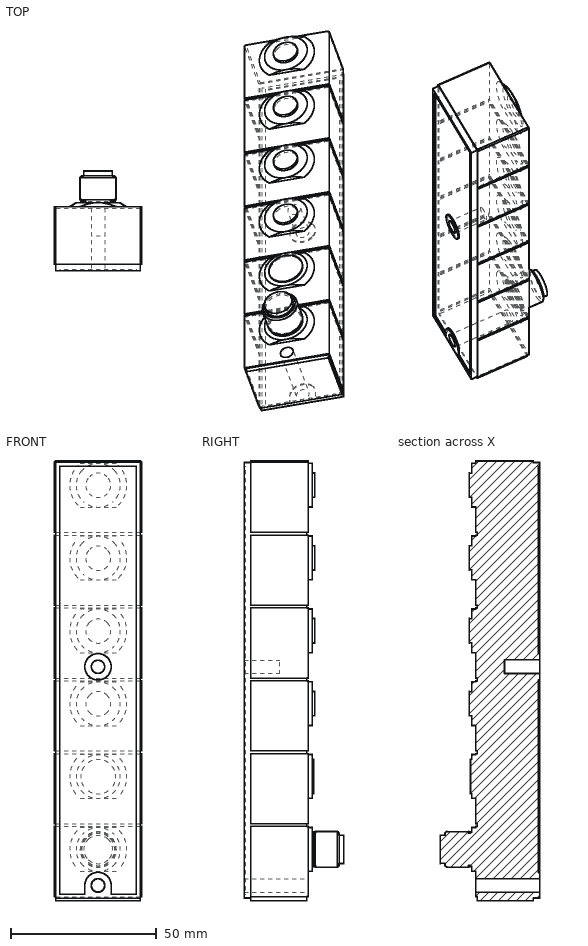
import cadquery as cq


width = 30.0
length = 151.0
module_count = 6
foot_height = 1.0
seam_width = 0.9
step = 0.5
housing_back = 22.0

plate_thickness = 2.3
plate_bottom = 0.9
rim_width = 1.4
pocket_depth = 0.5

hole_diameter = 4.5
boss_diameter = 9.0
hole_spacing = 75.0
end_hole_z = 5.3
blind_hole_depth = 12.1

port_drop = 8.3
flange_base_diameter = 19.5
flange_height = 15.1
flange_thickness = 1.4
cap_diameter = 8.5
cap_thickness = 0.9
collar_diameter = 12.0
collar_thickness = 0.5
neck_diameter = 11.2
neck_length = 0.6
barrel_diameter = 12.4
barrel_chamfer = 0.6
barrel_end = 32.6
tip_diameter = 9.8
plug_end = 34.3

module_pitch = (length - foot_height) / module_count
core_width = width - 2 * step
plate_top = length - step
flange_face = housing_back + flange_thickness
collar_face = flange_face + collar_thickness
port_heights = [length - port_drop - i * module_pitch for i in range(module_count)]


def slab(slab_width, y_front, y_back, z_bottom, z_top):
    """Box centred on X between the given Y and Z limits."""
    size = (slab_width, y_back - y_front, z_top - z_bottom)
    return cq.Workplane("XY").box(*size, centered=(True, False, False)).translate((0, y_front, z_bottom))


def rod(diameter, y_front, y_back, z):
    """Cylinder along +Y on the middle plane of the block."""
    axis = cq.Solid.makeCylinder(diameter / 2, y_back - y_front, cq.Vector(0, y_front, z), cq.Vector(0, 1, 0))
    return cq.Workplane(axis)


def housing():
    body = slab(core_width, plate_thickness, housing_back - step, 0, length)
    for i in range(module_count):
        pitch_top = length - i * module_pitch
        bottom = pitch_top - module_pitch + seam_width / 2
        if i == 0:
            module = slab(width, plate_thickness, housing_back, bottom, length)
            module = module.faces(">Z").edges("|Y").chamfer(step)
        else:
            module = slab(width, plate_thickness, housing_back, bottom, pitch_top - seam_width / 2)
        body = body.union(module)
    return body


def mounting_plate():
    plate = slab(core_width, 0, plate_thickness, plate_bottom, plate_top)
    pocket = slab(
        core_width - 2 * rim_width, 0, pocket_depth, plate_bottom + rim_width, plate_top - rim_width
    )
    middle_boss = rod(boss_diameter, 0, pocket_depth, end_hole_z + hole_spacing)
    end_boss = rod(boss_diameter, 0, pocket_depth, end_hole_z)
    end_bridge = slab(boss_diameter, 0, pocket_depth, plate_bottom, end_hole_z)
    return plate.cut(pocket.cut(middle_boss).cut(end_boss).cut(end_bridge))


def flange(z):
    """Flat cone trimmed by a flat above and a flat below."""
    cone = cq.Solid.makeCone(
        flange_base_diameter / 2,
        flange_height / 2,
        flange_thickness,
        cq.Vector(0, housing_back, z),
        cq.Vector(0, 1, 0),
    )
    flats = slab(width, housing_back, flange_face, z - flange_height / 2, z + flange_height / 2)
    return cq.Workplane(cone).intersect(flats)


def plug(z):
    neck_end = collar_face + neck_length
    neck = rod(neck_diameter, collar_face, neck_end, z)
    barrel = rod(barrel_diameter, neck_end, barrel_end, z).faces(">Y").chamfer(barrel_chamfer)
    tip = rod(tip_diameter, barrel_end, plug_end, z)
    return neck.union(barrel).union(tip)


result = housing().union(mounting_plate())

*cap_heights, bare_collar_z, plug_z = port_heights
for port_z in port_heights:
    result = result.union(flange(port_z))
for cap_z in cap_heights:
    result = result.union(rod(cap_diameter, flange_face, flange_face + cap_thickness, cap_z))
for collar_z in (bare_collar_z, plug_z):
    result = result.union(rod(collar_diameter, flange_face, collar_face, collar_z))
result = result.union(plug(plug_z))

result = result.cut(rod(hole_diameter, 0, housing_back, end_hole_z))
result = result.cut(rod(hole_diameter, 0, blind_hole_depth, end_hole_z + hole_spacing))